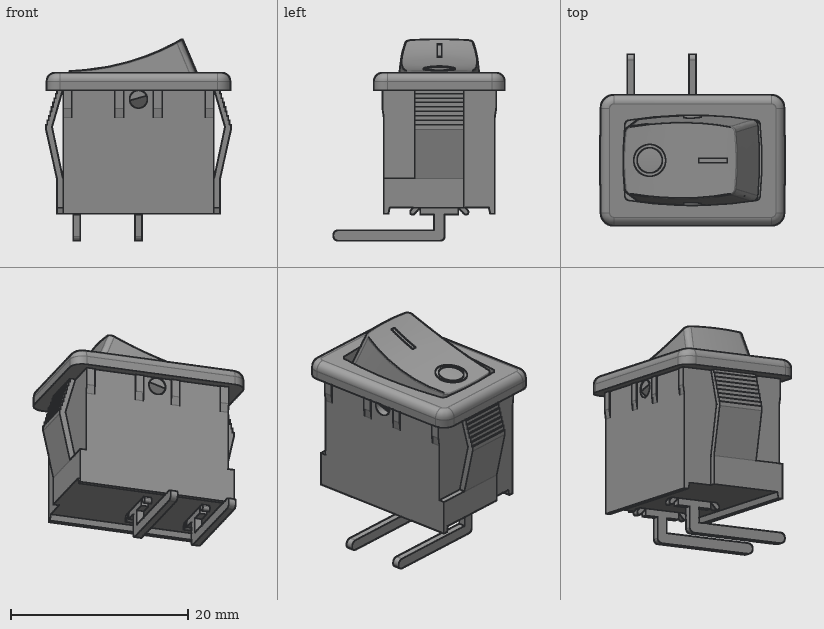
import cadquery as cq
import math


bezel_length = 20.8
bezel_width = 14.82
bezel_height = 2.0
bezel_corner_radius = 1.5
bezel_edge_radius = 1.0

opening_half_length = 7.85
opening_half_width = 5.1
opening_end_bulge = 0.25
opening_side_bulge = 0.64
opening_corner_radius = 0.55
opening_floor_z = -4.55

body_length = 17.05
body_width = 12.59
body_floor_z = -13.25
leg_bottom_z = -13.95
leg_tip_thickness = 0.55
leg_root_thickness = 0.7

rib_width = 1.0
rib_thickness = 0.148
rib_taper_start_z = -2.0
rib_bottom_z = -3.0
inner_rib_x = 2.17
outer_rib_x = body_length / 2 - rib_width / 2

clip_thickness = 0.7
clip_half_width = 2.78
clip_peak_x = 10.47
clip_root_z = -9.95
step_count = 8
step_pitch = 0.5
step_depth = 0.157
first_step_z = -0.36

tilt_angle = 15.8
draft_angle = 7.0
rocker_half_length = 7.48
rocker_half_width = 5.06
rocker_end_bulge = 0.25
rocker_side_bulge = 0.5
rocker_corner_radius = 0.73
rocker_base_height = -1.4
rocker_blank_height = 5.7
dish_radius = 26.68
dish_bottom_height = 4.38
rocker_edge_radius = 0.11

pin_diameter = 2.0
pivot_z = -pin_diameter / 2
pin_recess = 0.1
bevel_start_height = 0.14

mark_depth = 0.07
ring_x = -4.83
ring_outer_diameter = 3.6
ring_inner_diameter = 2.85
bar_x = 2.33
bar_length = 3.2
bar_width = 0.5

terminal_x_places = (-6.98, 0.0)
terminal_thickness = 0.85
terminal_strip_width = 1.23
terminal_bottom_z = -17.0
terminal_tip_y = 12.0
terminal_bend_radius = 0.55
shoulder_width = 4.33
shoulder_height = 0.8
tab_width = 0.6
tab_length = 2.05
tab_angle = 47.0
tab_tip_y = 3.0
tab_tip_z = -13.75

embed = 0.23


def barrel_outline(half_length, half_width, end_bulge, side_bulge, corner_radius):
    """Rectangle with four outward-bowed sides and rounded corners."""
    corner_x = half_length - end_bulge
    corner_y = half_width - side_bulge
    return (
        cq.Sketch()
        .arc((corner_x, -corner_y), (half_length, 0), (corner_x, corner_y))
        .arc((corner_x, corner_y), (0, half_width), (-corner_x, corner_y))
        .arc((-corner_x, corner_y), (-half_length, 0), (-corner_x, -corner_y))
        .arc((-corner_x, -corner_y), (0, -half_width), (corner_x, -corner_y))
        .assemble()
        .vertices()
        .fillet(corner_radius)
    )


def make_bezel():
    return (
        cq.Workplane("XY")
        .rect(bezel_length, bezel_width)
        .extrude(bezel_height)
        .edges("|Z")
        .fillet(bezel_corner_radius)
        .faces(">Z")
        .edges()
        .fillet(bezel_edge_radius)
    )


def make_housing_block(length):
    """Block with a leg under each long wall, running along X."""
    wall_y = body_width / 2
    tip_y = wall_y - leg_tip_thickness
    root_y = wall_y - leg_root_thickness
    profile = [
        (-wall_y, embed),
        (-wall_y, leg_bottom_z),
        (-tip_y, leg_bottom_z),
        (-root_y, body_floor_z),
        (root_y, body_floor_z),
        (tip_y, leg_bottom_z),
        (wall_y, leg_bottom_z),
        (wall_y, embed),
    ]
    return cq.Workplane("YZ").polyline(profile).close().extrude(length / 2, both=True)


def make_rib(x, side):
    wall_y = side * (body_width / 2 - embed)
    face_y = side * body_width / 2
    outer_y = side * (body_width / 2 + rib_thickness)
    profile = [
        (wall_y, embed),
        (outer_y, embed),
        (outer_y, rib_taper_start_z),
        (face_y, rib_bottom_z),
        (wall_y, rib_bottom_z),
    ]
    return (
        cq.Workplane("YZ")
        .workplane(offset=x)
        .polyline(profile)
        .close()
        .extrude(rib_width / 2, both=True)
    )


def make_side_bands():
    """Bands on both end walls, from the +Y wall to the -Y side of the springs."""
    band_half_length = body_length / 2 + clip_thickness
    band_depth = clip_half_width + body_width / 2
    limits = cq.Workplane("XY").box(
        2 * band_half_length,
        band_depth,
        clip_root_z - leg_bottom_z,
        centered=(True, False, False),
    )
    limits = limits.translate((0, -clip_half_width, leg_bottom_z))
    return make_housing_block(2 * band_half_length).intersect(limits)


def make_left_clip():
    """Bent snap spring with a stepped outer face, on the -X wall."""
    root_x = -body_length / 2 - clip_thickness
    first_step_x = -clip_peak_x + step_count * step_depth
    outline = [(first_step_x + clip_thickness, embed), (first_step_x, embed)]
    for step in range(step_count):
        tread_z = first_step_z - step * step_pitch
        riser_x = first_step_x - step * step_depth
        outline.append((riser_x, tread_z))
        outline.append((riser_x - step_depth, tread_z))
    peak_z = first_step_z - step_count * step_pitch
    outline.append((-clip_peak_x, peak_z))
    outline.append((root_x, clip_root_z))
    outline.append((root_x + clip_thickness, clip_root_z))
    bend_z = peak_z + step_pitch / 2
    outline.append((-clip_peak_x + clip_thickness, bend_z))
    return cq.Workplane("XZ").polyline(outline).close().extrude(clip_half_width, both=True)


def make_pin():
    """Pivot pin whose lower half is bevelled at both ends for snapping in."""
    radius = pin_diameter / 2
    end_y = body_width / 2 - pin_recess
    pin = cq.Workplane("XZ").circle(radius).extrude(end_y, both=True)
    bevel = (
        cq.Workplane("YZ")
        .polyline(
            [
                (end_y, bevel_start_height),
                (end_y, -radius),
                (end_y - radius, -radius),
            ]
        )
        .close()
        .extrude(radius, both=True)
    )
    return pin.cut(bevel).cut(bevel.mirror("XZ"))


def rocker_section(height):
    """Rocker outline at a height above the pivot, placed at that height."""
    inset = (height - rocker_base_height) * math.tan(math.radians(draft_angle))
    outline = barrel_outline(
        rocker_half_length - inset,
        rocker_half_width - inset,
        rocker_end_bulge,
        rocker_side_bulge,
        rocker_corner_radius,
    )
    return outline.moved(cq.Location(cq.Vector(0, 0, height)))


def make_rocker():
    """Drafted rocker with a dished face, tilted about the pivot with its pin."""
    blank = (
        cq.Workplane("XY")
        .placeSketch(rocker_section(rocker_base_height), rocker_section(rocker_blank_height))
        .loft()
    )
    dish = (
        cq.Workplane("XZ")
        .center(0, dish_bottom_height + dish_radius)
        .circle(dish_radius)
        .extrude(bezel_width, both=True)
    )
    rocker = blank.cut(dish).faces(">Z").edges().fillet(rocker_edge_radius)
    rocker = rocker.union(make_pin())
    rocker = rocker.rotate((0, 0, 0), (0, 1, 0), -tilt_angle)
    return rocker.translate((0, 0, pivot_z))


def engrave_marks(rocker):
    """Sink the ring and bar marks to an even depth below the dished face."""
    ring = (
        cq.Workplane("XY")
        .center(ring_x, 0)
        .circle(ring_outer_diameter / 2)
        .circle(ring_inner_diameter / 2)
        .extrude(bezel_width)
    )
    bar = cq.Workplane("XY").center(bar_x, 0).rect(bar_length, bar_width).extrude(bezel_width)
    marks = ring.union(bar).cut(rocker.translate((0, 0, -mark_depth)))
    return rocker.cut(marks)


def make_terminal(x):
    half_strip = terminal_strip_width / 2
    shoulder_bottom_z = body_floor_z - shoulder_height
    strip = (
        cq.Workplane("YZ")
        .moveTo(-shoulder_width / 2, body_floor_z + embed)
        .lineTo(-shoulder_width / 2, shoulder_bottom_z)
        .lineTo(-half_strip, shoulder_bottom_z)
        .lineTo(-half_strip, terminal_bottom_z + terminal_bend_radius)
        .radiusArc((-half_strip + terminal_bend_radius, terminal_bottom_z), -terminal_bend_radius)
        .lineTo(terminal_tip_y - half_strip, terminal_bottom_z)
        .threePointArc(
            (terminal_tip_y, terminal_bottom_z + half_strip),
            (terminal_tip_y - half_strip, terminal_bottom_z + terminal_strip_width),
        )
        .lineTo(half_strip, terminal_bottom_z + terminal_strip_width)
        .lineTo(half_strip, shoulder_bottom_z)
        .lineTo(shoulder_width / 2, shoulder_bottom_z)
        .lineTo(shoulder_width / 2, body_floor_z + embed)
        .close()
        .extrude(terminal_thickness / 2, both=True)
    )
    axis_half_length = (tab_length - tab_width) / 2
    tab_centre_y = tab_tip_y - axis_half_length * math.cos(math.radians(tab_angle))
    tab_centre_z = tab_tip_z + axis_half_length * math.sin(math.radians(tab_angle))
    for side in (1, -1):
        tab = (
            cq.Workplane("YZ")
            .center(side * tab_centre_y, tab_centre_z)
            .slot2D(tab_length, tab_width, -side * tab_angle)
            .extrude(terminal_thickness / 2, both=True)
        )
        strip = strip.union(tab)
    return strip.translate((x, 0, 0))


housing = make_bezel().union(make_housing_block(body_length)).union(make_side_bands())
for rib_x in (-outer_rib_x, -inner_rib_x, inner_rib_x, outer_rib_x):
    for wall_side in (1, -1):
        housing = housing.union(make_rib(rib_x, wall_side))

left_clip = make_left_clip()
housing = housing.union(left_clip).union(left_clip.mirror("YZ"))

opening = (
    cq.Workplane("XY")
    .workplane(offset=opening_floor_z)
    .placeSketch(
        barrel_outline(
            opening_half_length,
            opening_half_width,
            opening_end_bulge,
            opening_side_bulge,
            opening_corner_radius,
        )
    )
    .extrude(bezel_height - opening_floor_z)
)
pivot_hole = (
    cq.Workplane("XZ")
    .center(0, pivot_z)
    .circle(pin_diameter / 2)
    .extrude(body_width / 2, both=True)
)
housing = housing.cut(opening).cut(pivot_hole)

result = housing.union(engrave_marks(make_rocker()))
for terminal_x in terminal_x_places:
    result = result.union(make_terminal(terminal_x))